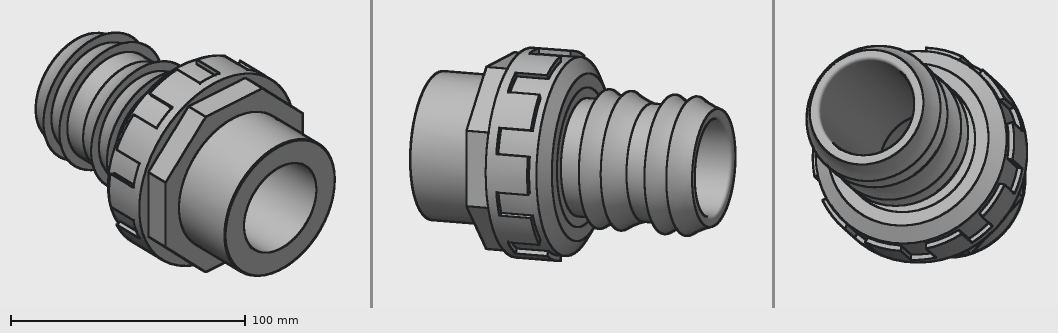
import cadquery as cq
import math


total_length = 127.0
barb_length = 10.0
nut_start = 6 * barb_length
nut_end = 87.0
octagon_end = 97.9

bore_radius = 21.0
bore_mouth_rounding = 1.5

tail_radius = 25.4
barb_radius = 30.0
barb_mid_rise = 1.8
barb_starts = [0, barb_length, 3 * barb_length, 4 * barb_length]

nut_diameter = 90.0
nut_radius = nut_diameter / 2
nut_rim_radius = 42.7
nut_nose_radius = 36.0
nut_cone_length = 4.5
rim_length = 3.3
notch_count = 10
notch_length = 14.5
notch_width = 11.3

octagon_sides = 8
octagon_across_flats = 79.5
spigot_radius = 32.0
spigot_end_chamfer = 0.4


def cylinder_along_x(radius, start, end):
    return cq.Workplane("YZ", origin=(start, 0, 0)).circle(radius).extrude(end - start)


def make_barb(start):
    """Ring that flares along a hollow arc from the tail radius out to a sharp shoulder."""
    end = start + barb_length
    middle = (start + barb_length / 2, tail_radius + barb_mid_rise)
    return (
        cq.Workplane("XY")
        .moveTo(start, 0)
        .lineTo(start, tail_radius)
        .threePointArc(middle, (end, barb_radius))
        .lineTo(end, 0)
        .close()
        .revolve(360, (0, 0, 0), (1, 0, 0))
    )


def make_hose_tail():
    """Barbed tube whose inner collar fills the nut and butts against the end piece."""
    tail = cylinder_along_x(tail_radius, 0, nut_start)
    for start in barb_starts:
        tail = tail.union(make_barb(start))
    tail = tail.union(cylinder_along_x(barb_radius, nut_start, nut_end))
    tail = tail.cut(cylinder_along_x(bore_radius, 0, nut_end))
    mouth_edge = cq.selectors.RadiusNthSelector(0)
    return tail.faces("<X").edges(mouth_edge).fillet(bore_mouth_rounding)


def make_union_nut():
    """Coned ring with parallel-sided notches open towards the cone."""
    cone_end = nut_start + nut_cone_length
    notch_start = cone_end + rim_length
    notch_end = notch_start + notch_length
    nut = (
        cq.Workplane("XY")
        .polyline([
            (nut_start, barb_radius),
            (nut_start, nut_nose_radius),
            (cone_end, nut_rim_radius),
            (notch_start, nut_rim_radius),
            (notch_start, nut_radius),
            (nut_end, nut_radius),
            (nut_end, barb_radius),
        ])
        .close()
        .revolve(360, (0, 0, 0), (1, 0, 0))
    )
    rim_core = cylinder_along_x(nut_rim_radius, notch_start, notch_end)
    notch = (
        cq.Workplane("XY", origin=((notch_start + notch_end) / 2, 0, 0))
        .rect(notch_length, notch_width)
        .extrude(2 * nut_radius)
        .cut(rim_core)
    )
    for index in range(notch_count):
        angle = index * 360 / notch_count
        nut = nut.cut(notch.rotate((0, 0, 0), (1, 0, 0), angle))
    return nut


def make_end_piece():
    """Octagonal wrench collar with a plain spigot behind it."""
    across_corners = octagon_across_flats / math.cos(math.pi / octagon_sides)
    flat_on_top_turn = 180 / octagon_sides
    octagon = (
        cq.Workplane("YZ", origin=(nut_end, 0, 0))
        .transformed(rotate=(0, 0, flat_on_top_turn))
        .polygon(octagon_sides, across_corners)
        .extrude(octagon_end - nut_end)
    )
    spigot = cylinder_along_x(spigot_radius, octagon_end, total_length)
    spigot = spigot.faces(">X").edges().chamfer(spigot_end_chamfer)
    return octagon.union(spigot).cut(cylinder_along_x(bore_radius, nut_end, total_length))


hose_tail = make_hose_tail()
union_nut = make_union_nut()
end_piece = make_end_piece()

result = cq.Compound.makeCompound([hose_tail.val(), union_nut.val(), end_piece.val()])